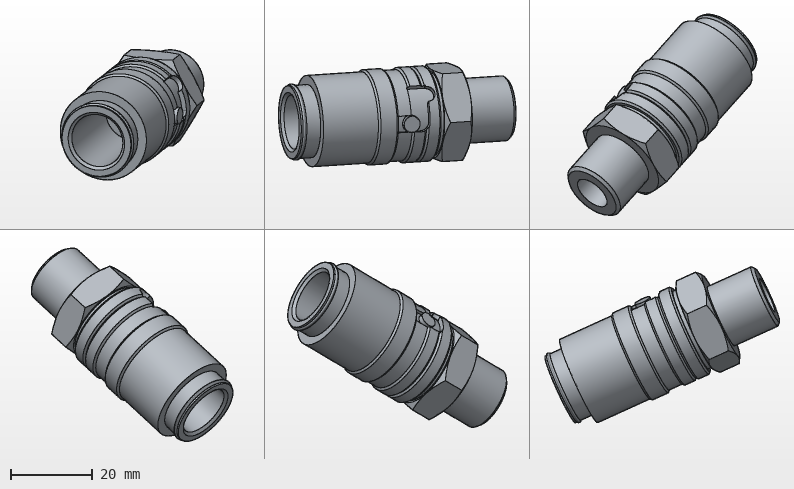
import cadquery as cq
import math


length = 56.0
core_radius = 10.5
body_radius = 11.25
collar_radius = 11.75
collar_chamfer = collar_radius - body_radius

nose_radius = 9.0
nose_end = 5.0
wire_radius = 0.5
wire_station = 0.95
wire_pitch_radius = 8.88

front_collar_start = 19.15
front_collar_end = 24.35
ring_start = 27.9
groove_station = 31.6
rear_collar_end = 35.35

hex_across_flats = 22.0
hex_start = 36.35
hex_end = 43.5
hex_chamfer_angle = 30.0
spigot_radius = 8.0
spigot_chamfer = 0.75

through_radius = 4.5
socket_radius = 6.65
socket_depth = 25.0
socket_mouth_radius = 7.35
socket_chamfer = socket_mouth_radius - socket_radius

pin_radius = 2.05
pin_station = 27.7
pin_embed = 1.0
pin_end = collar_radius
entry_angle = 36.5
entry_tip = 34.3
gap_end_angle = 48.1
gap_top = 32.35
slot_reach = 2 * collar_radius


def revolve_about_y(profile):
    """Revolve a closed XY profile a full turn about the Y axis."""
    return profile.revolve(360, (0, 0, 0), (0, 1, 0))


def cylinder_along_y(radius, start, end):
    return cq.Workplane("XZ", origin=(0, start, 0)).circle(radius).extrude(start - end)


def collar(start, end):
    """Collar with both rims chamfered down to the body radius."""
    return cylinder_along_y(collar_radius, start, end).edges().chamfer(collar_chamfer)


def make_sleeve():
    nose = cylinder_along_y(nose_radius, 0, nose_end)
    body = cylinder_along_y(body_radius, nose_end, rear_collar_end)
    wire = revolve_about_y(
        cq.Workplane("XY").moveTo(wire_pitch_radius, wire_station).circle(wire_radius)
    )
    sleeve = nose.union(body).union(wire)
    for start, end in (
        (front_collar_start, front_collar_end),
        (ring_start, groove_station),
        (groove_station, rear_collar_end),
    ):
        sleeve = sleeve.union(collar(start, end))
    return sleeve


def make_hexagon():
    """Hexagon with corners on X, both faces chamfered down to the flats' inscribed circle."""
    corner_diameter = hex_across_flats / math.cos(math.pi / 6)
    flat_radius = hex_across_flats / 2
    corner_radius = corner_diameter / 2
    chamfer_depth = (corner_radius - flat_radius) * math.tan(math.radians(hex_chamfer_angle))
    prism = (
        cq.Workplane("XZ", origin=(0, hex_start, 0))
        .polygon(6, corner_diameter)
        .extrude(hex_start - hex_end)
    )
    envelope = revolve_about_y(
        cq.Workplane("XY").polyline([
            (0, hex_start),
            (flat_radius, hex_start),
            (corner_radius, hex_start + chamfer_depth),
            (corner_radius, hex_end - chamfer_depth),
            (flat_radius, hex_end),
            (0, hex_end),
        ]).close()
    )
    return prism.intersect(envelope)


def make_spigot():
    return cylinder_along_y(spigot_radius, hex_end, length).faces(">Y").chamfer(spigot_chamfer)


def make_bore():
    return revolve_about_y(
        cq.Workplane("XY").polyline([
            (0, 0),
            (socket_mouth_radius, 0),
            (socket_radius, socket_chamfer),
            (socket_radius, socket_depth),
            (through_radius, socket_depth),
            (through_radius, length),
            (0, length),
        ]).close()
    )


def round_ended_slot(start, tip):
    """Cutter reaching out along +X, one pin wide, with a half-round end at the tip station."""
    tip_center = tip - pin_radius
    return (
        cq.Workplane("YZ")
        .moveTo(start, -pin_radius)
        .lineTo(tip_center, -pin_radius)
        .threePointArc((tip, 0), (tip_center, pin_radius))
        .lineTo(start, pin_radius)
        .close()
        .extrude(slot_reach)
    )


def make_lock_slots():
    """Entry slot, gap across the lock ring and pin channel, all floored on the core."""
    entry = round_ended_slot(pin_station, entry_tip).rotate((0, 0, 0), (0, 1, 0), -entry_angle)
    channel = round_ended_slot(front_collar_end, gap_top)
    gap_end = math.radians(gap_end_angle)
    gap = (
        cq.Workplane("XZ", origin=(0, pin_station, 0))
        .polyline([
            (0, 0),
            (slot_reach, 0),
            (slot_reach * math.cos(gap_end), slot_reach * math.sin(gap_end)),
        ])
        .close()
        .extrude(pin_station - gap_top)
    )
    core = cylinder_along_y(core_radius, 0, length)
    return entry.union(gap).union(channel).cut(core)


def make_pin():
    """Lock pin standing radially on the core inside the channel."""
    root = core_radius - pin_embed
    return (
        cq.Workplane("YZ", origin=(root, 0, 0))
        .center(pin_station, 0)
        .circle(pin_radius)
        .extrude(pin_end - root)
    )


neck = cylinder_along_y(core_radius, rear_collar_end, hex_start)

result = (
    make_sleeve()
    .cut(make_lock_slots())
    .union(make_pin())
    .union(neck)
    .union(make_hexagon())
    .union(make_spigot())
    .cut(make_bore())
)